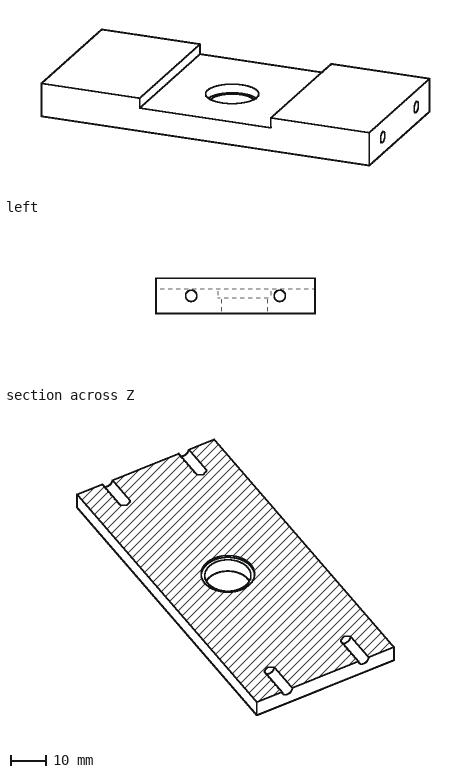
import cadquery as cq
import math

length = 100.0
width = 45.0
thickness = 10.0

channel_width = 40.0
channel_depth = 3.0
channel_floor = thickness - channel_depth

bore_diameter = 13.0
counterbore_diameter = 15.0
counterbore_depth = 2.6
bore_y = -2.5

end_hole_diameter = 3.2
end_hole_depth = 10.0
end_hole_spacing = 25.0
drill_tip_angle = 118.0


def drilled_hole():
    """Blind hole along +X from the origin, ending in a conical drill tip."""
    radius = end_hole_diameter / 2
    tip_length = radius / math.tan(math.radians(drill_tip_angle / 2))
    profile = (
        cq.Workplane("XY")
        .lineTo(0, radius)
        .lineTo(end_hole_depth, radius)
        .lineTo(end_hole_depth + tip_length, 0)
        .close()
    )
    return profile.revolve(360, (0, 0, 0), (1, 0, 0))


result = cq.Workplane("XY").box(length, width, thickness, centered=(True, True, False))

channel = cq.Workplane("XY").box(channel_width, width, channel_depth, centered=(True, True, False))
result = result.cut(channel.translate((0, 0, channel_floor)))

bore = cq.Workplane("XY").circle(bore_diameter / 2).extrude(thickness)
counterbore_floor = channel_floor - counterbore_depth
counterbore = (
    cq.Workplane("XY", origin=(0, 0, counterbore_floor))
    .circle(counterbore_diameter / 2)
    .extrude(counterbore_depth)
)
result = result.cut(bore.union(counterbore).translate((0, bore_y, 0)))

for y in (-end_hole_spacing / 2, end_hole_spacing / 2):
    left_hole = drilled_hole().translate((-length / 2, y, thickness / 2))
    result = result.cut(left_hole).cut(left_hole.mirror("YZ"))